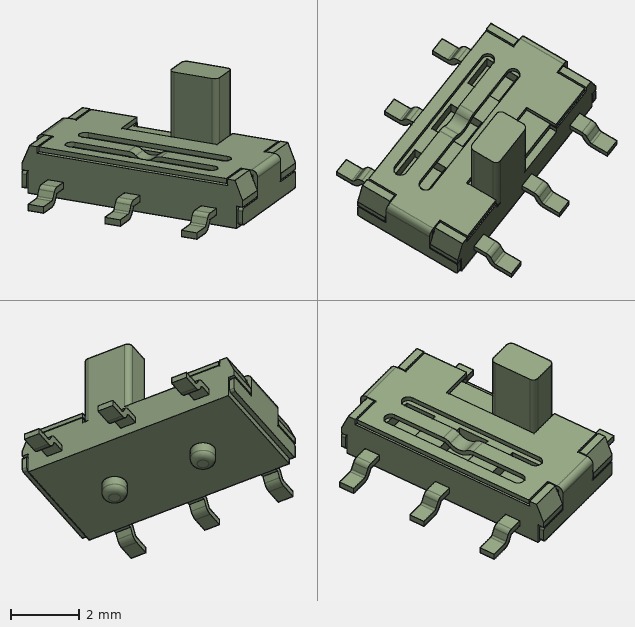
import cadquery as cq
import math

LENGTH = 7.2
BASE_WIDTH = 3.55
HEIGHT = 1.5
CLEARANCE = 0.05

SHEET = 0.15
SIDE_GAP = 0.025
COVER_BEND = 0.2
FLAP_BOTTOM = 0.12
FLAP_ARM_TOP = 0.65
FLAP_ROUND = 0.08
SLOT_LENGTH = 4.93
SLOT_WIDTH = 0.4
SLOT_PITCH = 0.9
SLOT_CENTRE_Y = -0.705
DIMPLE_ANGLE = math.radians(40)
DIMPLE_RADIUS = 0.44
SHOULDER_RADIUS = 0.39
DIMPLE_END_X = (DIMPLE_RADIUS + SHOULDER_RADIUS) * math.sin(DIMPLE_ANGLE)

BASE_TOP = HEIGHT - SHEET - CLEARANCE
BASE_LENGTH = LENGTH - 2 * (SHEET + CLEARANCE)
CORNER_LENGTH = 0.5
CORNER_INNER_Y = 0.8
CORNER_BOTTOM = 0.7
CORNER_BEVEL_RUN = 0.25
CORNER_BEVEL_DROP = 0.6
POCKET_LENGTH = 1.0
POCKET_WIDTH = 1.1
POCKET_DEPTH = 0.4
POCKET_PITCH = 1.88

KNOB_LENGTH = 1.58
KNOB_WIDTH = 1.0
KNOB_HEIGHT = 2.01
KNOB_ROUND = 0.165
KNOB_X = 0.74
KNOB_Y = BASE_WIDTH / 2 - KNOB_WIDTH / 2
OPENING_LENGTH = 3.12
OPENING_FRONT_Y = 0.705
LEDGE_FRONT_Y = 1.53
LEDGE_DROP = 0.19

PEG_DIAMETER = 0.75
PEG_LENGTH = 0.5
PEG_ROUND = 0.2
PEG_SPACING = 3.0

LEAD_SPAN = 6.2
LEAD_WIDTH = 0.505
LEAD_THICKNESS = 0.2
LEAD_PITCH = 2.5
LEAD_EMBED = 0.07
LEAD_RISE = 0.325
LEAD_BEND_START = 2.2
LEAD_BEND_ANGLE = math.radians(60)
LEAD_FOOT_RADIUS = 0.09


def box(x0, x1, y0, y1, z0, z1):
    """Box between two opposite corners."""
    return cq.Workplane("XY").box(x1 - x0, y1 - y0, z1 - z0, centered=False).translate((x0, y0, z0))


def arc_point(centre, radius, angle):
    """Point on a circle; the angle is in radians from the first sketch axis."""
    return (centre[0] + radius * math.cos(angle), centre[1] + radius * math.sin(angle))


def make_corner_block():
    """Bevelled block at the +X, +Y corner of the base."""
    outer_x = LENGTH / 2
    inner_x = outer_x - CORNER_LENGTH
    return (
        cq.Workplane("XZ", origin=(0, BASE_WIDTH / 2, 0))
        .moveTo(inner_x, CORNER_BOTTOM)
        .lineTo(outer_x, CORNER_BOTTOM)
        .lineTo(outer_x, HEIGHT - CORNER_BEVEL_DROP)
        .lineTo(outer_x - CORNER_BEVEL_RUN, HEIGHT)
        .lineTo(inner_x, HEIGHT)
        .close()
        .extrude(BASE_WIDTH / 2 - CORNER_INNER_Y)
    )


def make_lead():
    """Gull-wing lead on the +Y side, centred on X = 0."""
    a = LEAD_BEND_ANGLE
    t = LEAD_THICKNESS
    root_y = BASE_WIDTH / 2 - LEAD_EMBED
    foot_outer = LEAD_FOOT_RADIUS + t
    upper = (LEAD_BEND_START, LEAD_RISE)
    arcs_drop = foot_outer * (1 - math.cos(a))
    slope_run = (LEAD_RISE - arcs_drop) / math.tan(a)
    lower = (LEAD_BEND_START + slope_run + foot_outer * math.sin(a), foot_outer)
    up = math.pi / 2
    down = -math.pi / 2
    return (
        cq.Workplane("YZ", origin=(-LEAD_WIDTH / 2, 0, 0))
        .moveTo(root_y, LEAD_RISE)
        .lineTo(*upper)
        .lineTo(*arc_point(lower, foot_outer, down - a))
        .threePointArc(arc_point(lower, foot_outer, down - a / 2), arc_point(lower, foot_outer, down))
        .lineTo(LEAD_SPAN / 2, 0)
        .lineTo(LEAD_SPAN / 2, t)
        .lineTo(lower[0], t)
        .threePointArc(
            arc_point(lower, LEAD_FOOT_RADIUS, down - a / 2),
            arc_point(lower, LEAD_FOOT_RADIUS, down - a),
        )
        .lineTo(*arc_point(upper, t, up - a))
        .threePointArc(arc_point(upper, t, up - a / 2), arc_point(upper, t, up))
        .lineTo(root_y, LEAD_RISE + t)
        .close()
        .extrude(LEAD_WIDTH)
    )


def make_peg():
    """Round-ended locating peg under the base, centred on X = 0."""
    return (
        cq.Workplane("XY")
        .circle(PEG_DIAMETER / 2)
        .extrude(-PEG_LENGTH)
        .faces("<Z")
        .edges()
        .fillet(PEG_ROUND)
    )


def make_knob():
    """Slider knob, reaching down to the ledge along the back edge of the base."""
    knob_bottom = BASE_TOP - LEDGE_DROP
    return (
        cq.Workplane("XY", origin=(KNOB_X, KNOB_Y, knob_bottom))
        .rect(KNOB_LENGTH, KNOB_WIDTH)
        .extrude(HEIGHT + KNOB_HEIGHT - knob_bottom)
        .edges("|Z")
        .fillet(KNOB_ROUND)
    )


def make_base():
    """Base with corner blocks, leads, pegs and the slider knob as one solid."""
    half_length = BASE_LENGTH / 2
    half_width = BASE_WIDTH / 2
    base = box(-half_length, half_length, -half_width, half_width, 0, BASE_TOP)

    for i in (-1, 0, 1):
        pocket = box(-POCKET_LENGTH / 2, POCKET_LENGTH / 2, -POCKET_WIDTH / 2, POCKET_WIDTH / 2,
                     BASE_TOP - POCKET_DEPTH, BASE_TOP)
        base = base.cut(pocket.translate((i * POCKET_PITCH, SLOT_CENTRE_Y, 0)))

    half_opening = OPENING_LENGTH / 2
    base = base.cut(
        box(-half_opening, half_opening, LEDGE_FRONT_Y, half_width, BASE_TOP - LEDGE_DROP, BASE_TOP)
    )

    back_right = make_corner_block()
    back_corners = back_right.union(back_right.mirror("YZ"))
    base = base.union(back_corners).union(back_corners.mirror("XZ"))

    lead = make_lead()
    lead_pair = lead.union(lead.mirror("XZ"))
    for i in (-1, 0, 1):
        base = base.union(lead_pair.translate((i * LEAD_PITCH, 0, 0)))

    peg = make_peg()
    for side in (-1, 1):
        base = base.union(peg.translate((side * PEG_SPACING / 2, 0, 0)))

    return base.union(make_knob())


def make_flap_cutter():
    """Outline of both T-shaped end flaps, extruded through the whole length."""
    neck = CORNER_INNER_Y - SIDE_GAP
    arm = BASE_WIDTH / 2
    arms = (
        box(-LENGTH, LENGTH, -arm, arm, FLAP_BOTTOM, FLAP_ARM_TOP)
        .edges("|X")
        .fillet(FLAP_ROUND)
    )
    return arms.union(box(-LENGTH, LENGTH, -neck, neck, FLAP_ARM_TOP - FLAP_ROUND, HEIGHT))


def make_dimple():
    """Formed strip that dips below the bridge between the two slots."""
    a = DIMPLE_ANGLE
    valley = (0, HEIGHT - SHOULDER_RADIUS + (DIMPLE_RADIUS + SHOULDER_RADIUS) * math.cos(a))
    left = (-DIMPLE_END_X, HEIGHT - SHOULDER_RADIUS)
    right = (DIMPLE_END_X, HEIGHT - SHOULDER_RADIUS)
    up = math.pi / 2
    down = -math.pi / 2
    plate_bottom = HEIGHT - SHEET
    inner_shoulder = SHOULDER_RADIUS - SHEET
    outer_dimple = DIMPLE_RADIUS + SHEET
    width = SLOT_PITCH - SLOT_WIDTH
    return (
        cq.Workplane("XZ", origin=(0, SLOT_CENTRE_Y + width / 2, 0))
        .moveTo(-DIMPLE_END_X, HEIGHT)
        .threePointArc(
            arc_point(left, SHOULDER_RADIUS, up - a / 2),
            arc_point(left, SHOULDER_RADIUS, up - a),
        )
        .threePointArc(arc_point(valley, DIMPLE_RADIUS, down), arc_point(valley, DIMPLE_RADIUS, down + a))
        .threePointArc(arc_point(right, SHOULDER_RADIUS, up + a / 2), (DIMPLE_END_X, HEIGHT))
        .lineTo(DIMPLE_END_X, plate_bottom)
        .threePointArc(arc_point(right, inner_shoulder, up + a / 2), arc_point(right, inner_shoulder, up + a))
        .threePointArc(arc_point(valley, outer_dimple, down), arc_point(valley, outer_dimple, down - a))
        .threePointArc(arc_point(left, inner_shoulder, up - a / 2), (-DIMPLE_END_X, plate_bottom))
        .close()
        .extrude(width)
    )


def make_cover():
    """Sheet-metal cover: plate with slots, opening and dimple, and a bent T-shaped flap at each end."""
    half_length = LENGTH / 2
    half_width = BASE_WIDTH / 2
    plate_bottom = HEIGHT - SHEET
    inner_bend = COVER_BEND - SHEET

    outside = (
        box(-half_length, half_length, -half_width, half_width, 0, HEIGHT)
        .edges("|Y and >Z")
        .fillet(COVER_BEND)
    )
    inside = (
        box(-half_length + SHEET, half_length - SHEET, -half_width, half_width, 0, plate_bottom)
        .edges("|Y and >Z")
        .fillet(inner_bend)
    )
    sheet = outside.cut(inside)
    plate_x = LENGTH / 2 - CORNER_LENGTH - CLEARANCE
    plate_y = half_width - SIDE_GAP
    plate_outline = box(-plate_x, plate_x, -plate_y, plate_y, plate_bottom, HEIGHT)
    cover = sheet.intersect(make_flap_cutter().union(plate_outline))

    half_opening = OPENING_LENGTH / 2
    cover = cover.cut(
        box(-half_opening, half_opening, OPENING_FRONT_Y, half_width, plate_bottom, HEIGHT)
    )

    for side in (-1, 1):
        slot_y = SLOT_CENTRE_Y + side * SLOT_PITCH / 2
        slot_plane = cq.Workplane("XY", origin=(0, slot_y, plate_bottom))
        cover = cover.cut(slot_plane.slot2D(SLOT_LENGTH, SLOT_WIDTH).extrude(SHEET))

    half_bridge = (SLOT_PITCH - SLOT_WIDTH) / 2
    cover = cover.cut(
        box(-DIMPLE_END_X, DIMPLE_END_X, SLOT_CENTRE_Y - half_bridge, SLOT_CENTRE_Y + half_bridge,
            plate_bottom, HEIGHT)
    )
    return cover.union(make_dimple())


base = make_base()
cover = make_cover()

result = cq.Compound.makeCompound([base.val(), cover.val()])